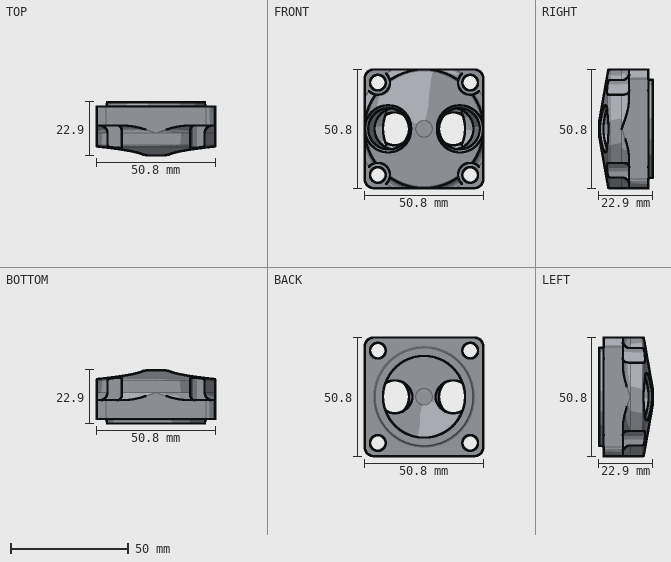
import cadquery as cq
import math


plate_side = 50.8
plate_thickness = 8.2
plate_corner_radius = 4.05

spigot_root_radius = 21.15
spigot_height = 1.9
spigot_taper = 5.0
spigot_root_fillet = 0.35
spigot_end_round = 0.15

total_depth = 22.85
head_radius = plate_side / 2
head_root_fillet = 3.2
head_edge_round = 0.75
cone_slope = math.radians(10)
cone_flat_radius = 3.55

screw_offset = 19.7
screw_hole_diameter = 6.6
screw_clearance_diameter = 10.35

port_diameter = 17.65
port_axis_x = 12.05
port_straight_end = 2.35
port_tip_angle = math.radians(118)
port_chamfer = 1.25
recess_radius = 17.5
recess_rim_depth = 2.5

front_y = spigot_height - total_depth
plate_front_y = -plate_thickness
block_radius = 40.65
drill_length = 40.65


def cone_y(radius):
    """Y of the conical front at a given distance from the part axis."""
    return front_y + (radius - cone_flat_radius) * math.tan(cone_slope)


def revolve_about_y(profile):
    """Turn an outline of (radius, Y) points, closed along the axis, into a solid."""
    return profile.close().revolve(360, (0, 0, 0), (0, 1, 0))


def outline():
    """Sketch plane through the part axis: local x is the radius, along Z, and local y is Y."""
    return cq.Workplane(cq.Plane(origin=(0, 0, 0), xDir=(0, 0, 1), normal=(-1, 0, 0)))


def make_plate_bar():
    """Rounded square bar from the mounting face to the front, outlining the whole part."""
    return (
        cq.Workplane("XZ")
        .rect(plate_side, plate_side)
        .extrude(-front_y)
        .edges("|Y")
        .fillet(plate_corner_radius)
    )


def make_flange():
    """Square plate with the tapered spigot standing on its mounting face."""
    slab = cq.Workplane("XY").box(plate_side, 2 * plate_thickness, plate_side)
    flange = (
        make_plate_bar()
        .intersect(slab)
        .faces(">Y")
        .workplane(origin=(0, 0, 0))
        .circle(spigot_root_radius)
        .extrude(spigot_height, taper=spigot_taper)
    )
    flange = flange.faces(">Y").edges().fillet(spigot_end_round)
    spigot_root = cq.selectors.RadiusNthSelector(-1)
    return flange.edges(spigot_root).fillet(spigot_root_fillet)


def make_head():
    """Round head with a concave root flare and a front edge round tangent to the cone."""
    flare_radius = head_radius + head_root_fillet
    flare_inset = head_root_fillet * (1 - math.sqrt(0.5))

    edge_center_r = head_radius - head_edge_round
    tangent_r = edge_center_r + head_edge_round * math.sin(cone_slope)
    edge_center_y = cone_y(tangent_r) + head_edge_round * math.cos(cone_slope)
    middle_angle = (math.pi / 2 - cone_slope) / 2
    edge_middle = (
        edge_center_r + head_edge_round * math.cos(middle_angle),
        edge_center_y - head_edge_round * math.sin(middle_angle),
    )

    profile = (
        outline()
        .moveTo(0, plate_front_y)
        .lineTo(flare_radius, plate_front_y)
        .threePointArc(
            (head_radius + flare_inset, plate_front_y - flare_inset),
            (head_radius, plate_front_y - head_root_fillet),
        )
        .lineTo(head_radius, edge_center_y)
        .threePointArc(edge_middle, (tangent_r, cone_y(tangent_r)))
        .lineTo(cone_flat_radius, front_y)
        .lineTo(0, front_y)
    )
    return revolve_about_y(profile)


def make_port(side):
    """Port drill on one side: a straight shank and a conical tip, leaning toward the part axis."""
    radius = port_diameter / 2
    tip_length = radius / math.tan(port_tip_angle / 2)
    profile = (
        outline()
        .moveTo(0, -drill_length)
        .lineTo(radius, -drill_length)
        .lineTo(radius, -port_straight_end)
        .lineTo(0, tip_length - port_straight_end)
    )
    drill = revolve_about_y(profile)
    tilted = drill.rotate((0, 0, 0), (0, 0, 1), side * math.degrees(cone_slope))
    return tilted.translate((side * port_axis_x, 0, 0))


def make_ported_cone():
    """Oversize cone-fronted block that carries the chamfered ports."""
    profile = (
        outline()
        .moveTo(0, spigot_height)
        .lineTo(block_radius, spigot_height)
        .lineTo(block_radius, cone_y(block_radius))
        .lineTo(cone_flat_radius, front_y)
        .lineTo(0, front_y)
    )
    block = revolve_about_y(profile)
    for side in (-1, 1):
        block = block.cut(make_port(side))
    port_mouths = block.edges("%BSPLINE")
    return port_mouths.chamfer(port_chamfer)


def make_recess():
    """Round recess in the spigot face, with a dished floor parallel to the conical front."""
    rim_y = spigot_height - recess_rim_depth
    floor_rise = cone_y(recess_radius) - front_y
    profile = (
        outline()
        .moveTo(0, spigot_height)
        .lineTo(recess_radius, spigot_height)
        .lineTo(recess_radius, rim_y)
        .lineTo(cone_flat_radius, rim_y - floor_rise)
        .lineTo(0, rim_y - floor_rise)
    )
    return revolve_about_y(profile)


def drill_pattern(y_start, diameter):
    """Cylinders at the four screw positions, running from y_start through the front."""
    spacing = 2 * screw_offset
    return (
        cq.Workplane("XZ", origin=(0, y_start, 0))
        .rect(spacing, spacing, forConstruction=True)
        .vertices()
        .circle(diameter / 2)
        .extrude(total_depth)
    )


head = make_head().intersect(make_plate_bar())

result = (
    make_flange()
    .union(head)
    .intersect(make_ported_cone())
    .cut(make_recess())
    .cut(drill_pattern(plate_front_y, screw_clearance_diameter))
    .cut(drill_pattern(0, screw_hole_diameter))
)